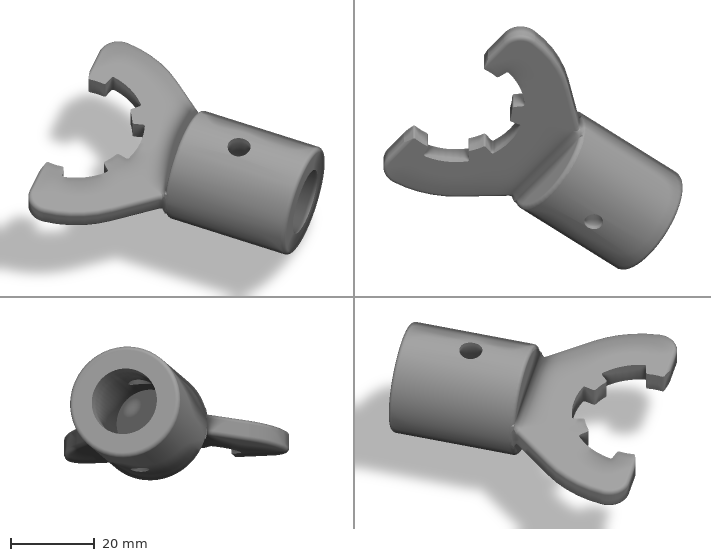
import cadquery as cq
import math

LENGTH = 62.0
SOCKET_DIAMETER = 27.0
SOCKET_LENGTH = 31.0
SOCKET_START = LENGTH - SOCKET_LENGTH
SOCKET_EDGE_RADIUS = 1.0
BORE_DIAMETER = 16.0
BORE_DEPTH = 27.0

CROSS_HOLE_X = 45.0
UPPER_HOLE_DIAMETER = 5.5
LOWER_HOLE_DIAMETER = 4.5

PLATE_THICKNESS = 5.0
PLATE_EDGE_RADIUS = 1.0
JAW_X = 3.0
FORK_RADIUS = 27.5
TIP_CORNER_RADIUS = 5.0
NECK_HALF_WIDTH = 12.5

COLLAR_RADIUS = 1.5
COLLAR_HALF_WIDTH = 12.9

TOOTH_COUNT = 6
FIRST_TOOTH_ANGLE = 30.0
ROOT_RADIUS = 16.5
TOOTH_TIP_RADIUS = 13.5
TOOTH_TIP_HALF_WIDTH = 2.2
TOOTH_FLANK_ANGLE = 15.0
TOOTH_ROUNDING = 0.5

OVERLAP = 1.0


def polar(center, radius, angle):
    return (center[0] + radius * math.cos(angle), center[1] + radius * math.sin(angle))


def mirrored(point):
    return (point[0], -point[1])


def fork_profile():
    """Closed plate outline, symmetric about the X axis."""
    jaw_center = (JAW_X, 0)

    neck_dx = SOCKET_START - JAW_X
    flank_normal = math.atan2(NECK_HALF_WIDTH, neck_dx) + math.acos(
        FORK_RADIUS / math.hypot(neck_dx, NECK_HALF_WIDTH)
    )
    flank_start = polar(jaw_center, FORK_RADIUS, flank_normal)

    edge_center = (SOCKET_START + SOCKET_EDGE_RADIUS, SOCKET_DIAMETER / 2 - SOCKET_EDGE_RADIUS)
    edge_dx = edge_center[0] - JAW_X
    edge_along_normal = edge_dx * math.cos(flank_normal) + edge_center[1] * math.sin(flank_normal)
    edge_along_flank = edge_center[1] * math.cos(flank_normal) - edge_dx * math.sin(flank_normal)
    center_along_normal = FORK_RADIUS + COLLAR_RADIUS
    center_along_flank = edge_along_flank + math.sqrt(
        (SOCKET_EDGE_RADIUS + COLLAR_RADIUS) ** 2 - (center_along_normal - edge_along_normal) ** 2
    )
    flank_offset = polar(jaw_center, center_along_normal, flank_normal)
    fillet_center = polar(flank_offset, center_along_flank, flank_normal + math.pi / 2)
    fillet_start = polar(fillet_center, COLLAR_RADIUS, flank_normal + math.pi)
    fillet_middle = polar(fillet_center, COLLAR_RADIUS, -math.pi / 2)
    to_edge = math.atan2(edge_center[1] - fillet_center[1], edge_center[0] - fillet_center[0])
    fillet_end = polar(fillet_center, COLLAR_RADIUS, to_edge)

    corner_center = (
        TIP_CORNER_RADIUS,
        math.sqrt((FORK_RADIUS - TIP_CORNER_RADIUS) ** 2 - (TIP_CORNER_RADIUS - JAW_X) ** 2),
    )
    tip_angle = math.atan2(corner_center[1], corner_center[0] - JAW_X)
    arc_middle = polar(jaw_center, FORK_RADIUS, (flank_normal + tip_angle) / 2)
    arc_end = polar(jaw_center, FORK_RADIUS, tip_angle)
    corner_middle = polar(corner_center, TIP_CORNER_RADIUS, (tip_angle + math.pi) / 2)
    corner_end = polar(corner_center, TIP_CORNER_RADIUS, math.pi)

    return (
        cq.Workplane("XY")
        .moveTo(*mirrored(fillet_end))
        .lineTo(*fillet_end)
        .threePointArc(fillet_middle, fillet_start)
        .lineTo(*flank_start)
        .threePointArc(arc_middle, arc_end)
        .threePointArc(corner_middle, corner_end)
        .lineTo(*mirrored(corner_end))
        .threePointArc(mirrored(corner_middle), mirrored(arc_end))
        .threePointArc(mirrored(arc_middle), mirrored(flank_start))
        .lineTo(*mirrored(fillet_start))
        .threePointArc(mirrored(fillet_middle), mirrored(fillet_end))
        .close()
    )


def fork_plate():
    plate = fork_profile().extrude(PLATE_THICKNESS / 2, both=True)
    return plate.faces("|Z").edges("not(>X)").fillet(PLATE_EDGE_RADIUS)


def rounded_bar(half_width, half_height, corner_radius, start_x):
    """Bar along X with a rounded rectangular section, ending inside the socket."""
    end_x = SOCKET_START + SOCKET_EDGE_RADIUS
    bar = cq.Workplane("YZ", origin=(start_x, 0, 0)).rect(2 * half_width, 2 * half_height)
    return bar.extrude(end_x - start_x).edges("|X").fillet(corner_radius)


def collar():
    """Fillet that flares from the plate onto the socket end face, kept within the plate outline."""
    half_height = PLATE_THICKNESS / 2
    start_x = SOCKET_START - COLLAR_RADIUS
    bar = rounded_bar(COLLAR_HALF_WIDTH, half_height, PLATE_EDGE_RADIUS, start_x - OVERLAP)
    wall_size = 2 * SOCKET_DIAMETER
    wall = cq.Workplane("YZ", origin=(SOCKET_START, 0, 0)).rect(wall_size, wall_size)
    flare = bar.union(wall.extrude(SOCKET_EDGE_RADIUS))
    margin = COLLAR_RADIUS / 10
    loop_half_width = COLLAR_HALF_WIDTH + margin
    loop_half_height = half_height + margin
    loop = cq.selectors.BoxSelector(
        (SOCKET_START - margin, -loop_half_width, -loop_half_height),
        (SOCKET_START + margin, loop_half_width, loop_half_height),
    )
    flare = flare.edges(loop).fillet(COLLAR_RADIUS)
    envelope = rounded_bar(
        COLLAR_HALF_WIDTH + COLLAR_RADIUS,
        half_height + COLLAR_RADIUS,
        PLATE_EDGE_RADIUS + COLLAR_RADIUS,
        start_x,
    )
    outline = fork_profile().extrude(PLATE_THICKNESS, both=True)
    socket_limit = cq.Workplane("YZ").circle(SOCKET_DIAMETER / 2).extrude(LENGTH)
    return flare.intersect(envelope).intersect(outline).intersect(socket_limit)


def socket_body():
    body = cq.Workplane("YZ", origin=(SOCKET_START, 0, 0)).circle(SOCKET_DIAMETER / 2).extrude(SOCKET_LENGTH)
    return body.edges("%CIRCLE").fillet(SOCKET_EDGE_RADIUS)


def bore():
    return cq.Workplane("YZ", origin=(LENGTH, 0, 0)).circle(BORE_DIAMETER / 2).extrude(-BORE_DEPTH)


def cross_hole():
    center = cq.Workplane("XY", origin=(CROSS_HOLE_X, 0, 0))
    upper = center.circle(UPPER_HOLE_DIAMETER / 2).extrude(SOCKET_DIAMETER)
    lower = center.circle(LOWER_HOLE_DIAMETER / 2).extrude(-SOCKET_DIAMETER)
    return upper.union(lower)


def tooth():
    """Tapered wedge on the +X side of the jaw, from inside the tip circle to beyond the root circle."""
    taper = math.tan(math.radians(TOOTH_FLANK_ANGLE))

    def half_width(distance):
        return TOOTH_TIP_HALF_WIDTH + (distance - TOOTH_TIP_RADIUS) * taper

    inner = TOOTH_TIP_RADIUS - OVERLAP
    outer = ROOT_RADIUS + OVERLAP
    outline = [
        (inner, -half_width(inner)),
        (outer, -half_width(outer)),
        (outer, half_width(outer)),
        (inner, half_width(inner)),
    ]
    return cq.Workplane("XY").polyline(outline).close().extrude(PLATE_THICKNESS, both=True)


def jaw_opening():
    """Material to remove for the jaw: a disc with the teeth left out, cleared up to the tip circle."""
    opening = cq.Workplane("XY").circle(ROOT_RADIUS).extrude(PLATE_THICKNESS, both=True)
    for index in range(TOOTH_COUNT):
        angle = FIRST_TOOTH_ANGLE + index * 360 / TOOTH_COUNT
        opening = opening.cut(tooth().rotate((0, 0, 0), (0, 0, 1), angle))
    tip_clearance = cq.Workplane("XY").circle(TOOTH_TIP_RADIUS).extrude(PLATE_THICKNESS, both=True)
    opening = opening.union(tip_clearance)
    behind_front = cq.selectors.BoxSelector(
        (TOOTH_ROUNDING - JAW_X, -FORK_RADIUS, -PLATE_THICKNESS),
        (FORK_RADIUS, FORK_RADIUS, PLATE_THICKNESS),
    )
    opening = opening.edges("|Z").edges(behind_front).fillet(TOOTH_ROUNDING)
    return opening.translate((JAW_X, 0, 0))


fork = fork_plate().cut(jaw_opening())
result = socket_body().union(fork).union(collar()).cut(bore()).cut(cross_hole())